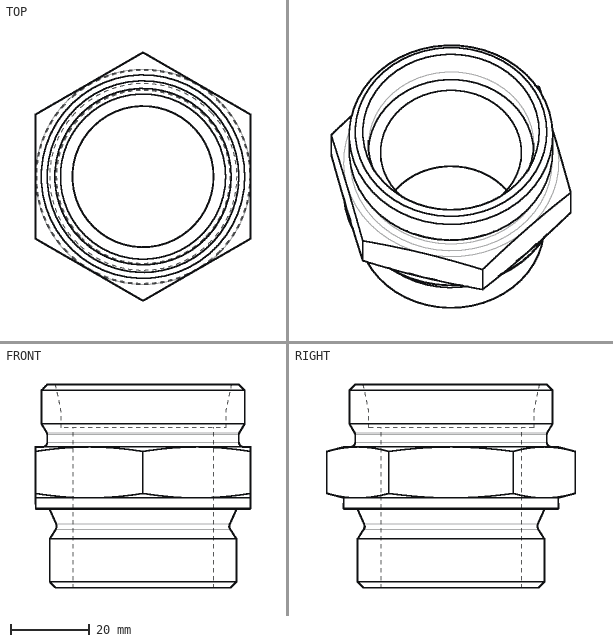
import cadquery as cq
import math

total_height = 52.0
hex_corner_diameter = 63.5
hex_across_flats = hex_corner_diameter * math.cos(math.radians(30))
hex_bevel_angle = 15.0

lower_relief_start = 12.5
lower_neck_level = 15.6
flange_bottom = 20.1
hex_bottom = 23.0
hex_top = 36.0
upper_neck_top = 39.45
upper_relief_top = 41.9

lower_thread_radius = 47.8 / 2
lower_neck_radius = 21.9
upper_thread_radius = 52.0 / 2
upper_neck_radius = 49.0 / 2
flange_radius = hex_across_flats / 2

end_chamfer = 1.5
upper_neck_fillet = 1.3
lower_neck_fillet = 1.45
upper_relief_fillet = 0.65
flange_edge_chamfer = 0.25

level_tolerance = 0.05

bore_radius = 36.0 / 2
socket_radius = 42.25 / 2
mouth_radius = 22.55
socket_depth = 11.0
taper_half_angle = 12.0
taper_depth = (mouth_radius - socket_radius) / math.tan(math.radians(taper_half_angle))


def revolve_profile(profile):
    """Revolve a closed (radius, height) profile around the Z axis."""
    return profile.close().revolve(360, (0, 0, 0), (0, 1, 0))


def fillet_ring(body, level, radius):
    """Fillet the circular edge that lies at the given height."""
    reach = hex_corner_diameter
    ring = cq.selectors.BoxSelector(
        (-reach, -reach, level - level_tolerance),
        (reach, reach, level + level_tolerance),
        boundingbox=True,
    )
    return body.edges(ring).fillet(radius)


def lower_end():
    """Lower threaded end with its V-shaped relief and the sealing flange."""
    body = revolve_profile(
        cq.Workplane("XZ")
        .moveTo(0, 0)
        .lineTo(lower_thread_radius - end_chamfer, 0)
        .lineTo(lower_thread_radius, end_chamfer)
        .lineTo(lower_thread_radius, lower_relief_start)
        .lineTo(lower_neck_radius, lower_neck_level)
        .lineTo(lower_thread_radius, flange_bottom)
        .lineTo(flange_radius - flange_edge_chamfer, flange_bottom)
        .lineTo(flange_radius, flange_bottom + flange_edge_chamfer)
        .lineTo(flange_radius, hex_bottom)
        .lineTo(0, hex_bottom)
    )
    return fillet_ring(body, lower_neck_level, lower_neck_fillet)


def bevelled_hexagon():
    """Hexagon with corners on Y, both ends bevelled down to the flats' circle."""
    corner_radius = hex_corner_diameter / 2
    bevel_drop = (corner_radius - flange_radius) * math.tan(math.radians(hex_bevel_angle))
    prism = (
        cq.Workplane("XY", origin=(0, 0, hex_bottom))
        .polygon(6, hex_corner_diameter)
        .extrude(hex_top - hex_bottom)
        .rotate((0, 0, 0), (0, 0, 1), 90)
    )
    bevel_envelope = revolve_profile(
        cq.Workplane("XZ")
        .moveTo(0, hex_bottom)
        .lineTo(flange_radius, hex_bottom)
        .lineTo(corner_radius, hex_bottom + bevel_drop)
        .lineTo(corner_radius, hex_top - bevel_drop)
        .lineTo(flange_radius, hex_top)
        .lineTo(0, hex_top)
    )
    return prism.intersect(bevel_envelope)


def upper_end():
    """Upper threaded end on a narrower neck that flares into the hexagon."""
    fillet_offset = upper_neck_fillet * (1 - math.sqrt(0.5))
    body = revolve_profile(
        cq.Workplane("XZ")
        .moveTo(0, hex_top)
        .lineTo(upper_neck_radius + upper_neck_fillet, hex_top)
        .threePointArc(
            (upper_neck_radius + fillet_offset, hex_top + fillet_offset),
            (upper_neck_radius, hex_top + upper_neck_fillet),
        )
        .lineTo(upper_neck_radius, upper_neck_top)
        .lineTo(upper_thread_radius, upper_relief_top)
        .lineTo(upper_thread_radius, total_height - end_chamfer)
        .lineTo(upper_thread_radius - end_chamfer, total_height)
        .lineTo(0, total_height)
    )
    return fillet_ring(body, upper_neck_top, upper_relief_fillet)


def bore():
    """Through bore widening into a socket with a tapered mouth at the top."""
    return revolve_profile(
        cq.Workplane("XZ")
        .moveTo(0, 0)
        .lineTo(bore_radius, 0)
        .lineTo(bore_radius, total_height - socket_depth)
        .lineTo(socket_radius, total_height - socket_depth)
        .lineTo(socket_radius, total_height - taper_depth)
        .lineTo(mouth_radius, total_height)
        .lineTo(0, total_height)
    )


result = lower_end().union(bevelled_hexagon()).union(upper_end()).cut(bore())